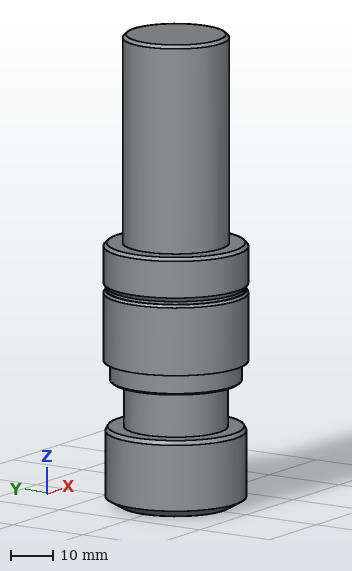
import cadquery as cq
import math

shank_diameter = 25.4
collar_diameter = 34.6
groove_diameter = 33.1
step_diameter = 31.5
neck_diameter = 24.8
head_diameter = 33.7

total_height = 114.5
collar_top = 63.8
groove_top = 53.0
groove_bottom = 52.3
collar_bottom = 35.2
step_bottom = 30.0
head_top = 19.1

shank_chamfer = (0.8, 0.8)
ring_chamfer = (0.8, 0.8)
body_chamfer = (0.5, 0.7)
head_chamfer = (0.6, 1.0)
step_chamfer = (0.6, 0.5)
ring_taper = ((collar_diameter - groove_diameter) / 2, 1.0)
lead_in_height = 2.1
lead_in_angle = 60.0
lead_in = (lead_in_height * math.tan(math.radians(lead_in_angle)), lead_in_height)


def turned_section(diameter, bottom, top, bottom_break=None, top_break=None):
    """Cylinder on the Z axis with optional conical edge breaks at its ends."""
    radius = diameter / 2
    outline = [(0, bottom)]
    if bottom_break:
        width, height = bottom_break
        outline += [(radius - width, bottom), (radius, bottom + height)]
    else:
        outline.append((radius, bottom))
    if top_break:
        width, height = top_break
        outline += [(radius, top - height), (radius - width, top)]
    else:
        outline.append((radius, top))
    outline.append((0, top))
    return cq.Workplane("XZ").polyline(outline).close().revolve(360, (0, 0, 0), (0, 1, 0))


head = turned_section(head_diameter, 0, head_top, lead_in, head_chamfer)
neck = turned_section(neck_diameter, head_top, step_bottom)

step = turned_section(step_diameter, step_bottom, collar_bottom, step_chamfer)
collar_body = turned_section(collar_diameter, collar_bottom, groove_bottom, top_break=body_chamfer)
groove_floor = turned_section(groove_diameter, groove_bottom, groove_top)
upper_ring = turned_section(collar_diameter, groove_top, collar_top, ring_taper, ring_chamfer)

shank = turned_section(shank_diameter, collar_top, total_height, top_break=shank_chamfer)

result = head
for section in (neck, step, collar_body, groove_floor, upper_ring, shank):
    result = result.union(section)